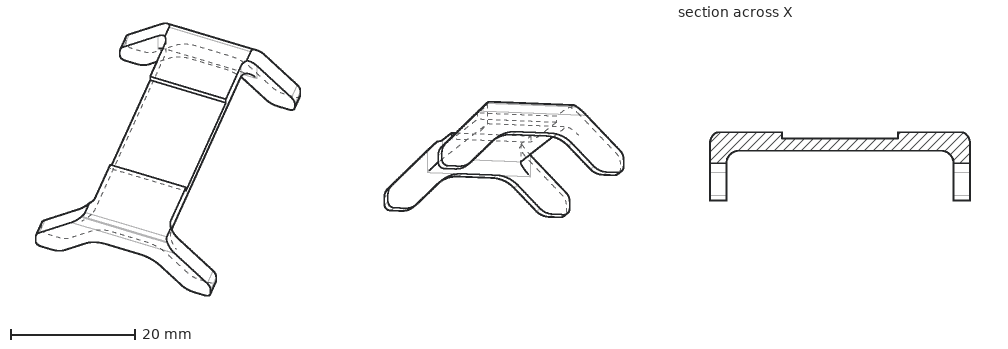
import cadquery as cq
import math

length_x = 30.0
length_y = 41.9
height = 11.0

top_width = 14.0
arch_depth = 5.0
limb_thickness = 5.0
arch_radius = 5.0
foot_outer_radius = 2.0
foot_toe_radius = 1.0
foot_inner_radius = 3.0

wall_thickness = 2.7
bridge_width = 13.0
bridge_thickness = 3.0
plan_corner_radius = 2.0
under_corner_radius = 2.0

recess_length = 18.6
recess_depth = 1.0

edge_chamfer = 1.0
edge_lower_radius = 2.0
edge_upper_radius = 1.0

half_x = length_x / 2
half_y = length_y / 2
inner_y = half_y - wall_thickness

slope_drop = half_x - top_width / 2
arch_flat_half = top_width / 2 + arch_depth - limb_thickness * math.sqrt(2)
foot_inner_half = arch_flat_half + height - arch_depth

pick_tolerance = 0.01


def edges_at(solid, direction, across, level):
    """Edges parallel to an axis, at (+across, level) and (-across, level) in the plane normal to it."""
    def box(side):
        if direction == "X":
            low = (-length_x, side * across - pick_tolerance, level - pick_tolerance)
            high = (length_x, side * across + pick_tolerance, level + pick_tolerance)
        else:
            low = (side * across - pick_tolerance, -length_y, level - pick_tolerance)
            high = (side * across + pick_tolerance, length_y, level + pick_tolerance)
        return cq.selectors.BoxSelector(low, high)

    return solid.edges("|" + direction).edges(box(1) + box(-1))


def arch_prism():
    """Arched front outline, extruded along the full Y length."""
    right_half = [
        (top_width / 2, height),
        (half_x, height - slope_drop),
        (half_x, 0),
        (foot_inner_half, 0),
        (arch_flat_half, height - arch_depth),
    ]
    left_half = [(-x, z) for x, z in reversed(right_half)]
    prism = cq.Workplane("XZ").polyline(right_half + left_half).close().extrude(half_y, both=True)
    prism = edges_at(prism, "Y", half_x, height - slope_drop).fillet(foot_outer_radius)
    prism = edges_at(prism, "Y", half_x, 0).fillet(foot_toe_radius)
    prism = edges_at(prism, "Y", foot_inner_half, 0).fillet(foot_inner_radius)
    return edges_at(prism, "Y", arch_flat_half, height - arch_depth).fillet(arch_radius)


def channel_prism():
    """Side outline: two end walls and the thin bridge, extruded along the full X length."""
    prism = cq.Workplane("XY").box(length_x, length_y, height, centered=(True, True, False))
    under_z = height - bridge_thickness
    underside = cq.Workplane("XY").box(length_x, 2 * inner_y, under_z, centered=(True, True, False))
    prism = prism.cut(underside)
    prism = edges_at(prism, "X", inner_y, under_z).fillet(under_corner_radius)
    prism = edges_at(prism, "X", half_y, height).chamfer(edge_chamfer)
    prism = edges_at(prism, "X", half_y, height - edge_chamfer).fillet(edge_lower_radius)
    prism = edges_at(prism, "X", half_y - edge_chamfer, height).fillet(edge_upper_radius)
    recess = (
        cq.Workplane("XY")
        .workplane(offset=height - recess_depth)
        .box(length_x, recess_length, recess_depth, centered=(True, True, False))
    )
    return prism.cut(recess)


def side_notch(side):
    """Space beside the bridge, rounded where the bridge runs into the end walls."""
    reach = half_x - bridge_width / 2
    notch = (
        cq.Workplane("XY")
        .center(side * (bridge_width / 2 + reach / 2), 0)
        .box(reach, 2 * inner_y, height, centered=(True, True, False))
    )
    bridge_face = "<X" if side > 0 else ">X"
    return notch.faces(bridge_face).edges("|Z").fillet(plan_corner_radius)


result = arch_prism().intersect(channel_prism())
for side in (-1, 1):
    result = result.cut(side_notch(side))